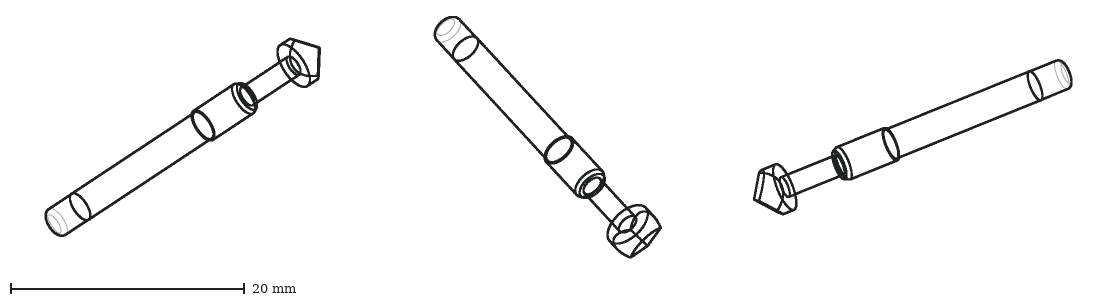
import cadquery as cq
import math

total_length = 30.3
tail_length = 3.0
barrel_length = 17.0
sleeve_length = 5.0
head_length = 3.0

tail_diameter = 2.65
barrel_diameter = 2.67
sleeve_diameter = 3.0
stem_diameter = 1.82
head_diameter = 4.2

tail_round = 0.4
sleeve_taper_length = 0.4
sleeve_taper_depth = 0.18

point_faces = 3
face_slope = math.radians(45)

tail_end = -total_length / 2
tail_top = tail_end + tail_length
sleeve_bottom = tail_end + barrel_length
sleeve_top = sleeve_bottom + sleeve_length
tip = total_length / 2
head_base = tip - head_length


def make_turned_body():
    """Revolve the tail, barrel, sleeve, stem and head blank about the Y axis."""
    tail_radius = tail_diameter / 2
    barrel_radius = barrel_diameter / 2
    sleeve_radius = sleeve_diameter / 2
    stem_radius = stem_diameter / 2
    head_radius = head_diameter / 2
    round_offset = tail_round * math.sin(math.radians(45))
    round_middle = (
        tail_radius - tail_round + round_offset,
        tail_end + tail_round - round_offset,
    )
    return (
        cq.Workplane("XY")
        .moveTo(0, tail_end)
        .lineTo(tail_radius - tail_round, tail_end)
        .threePointArc(round_middle, (tail_radius, tail_end + tail_round))
        .lineTo(tail_radius, tail_top)
        .lineTo(barrel_radius, tail_top)
        .lineTo(barrel_radius, sleeve_bottom)
        .lineTo(sleeve_radius, sleeve_bottom)
        .lineTo(sleeve_radius, sleeve_top - sleeve_taper_length)
        .lineTo(sleeve_radius - sleeve_taper_depth, sleeve_top)
        .lineTo(stem_radius, sleeve_top)
        .lineTo(stem_radius, head_base)
        .lineTo(head_radius, head_base)
        .lineTo(head_radius, tip)
        .lineTo(0, tip)
        .close()
        .revolve(360, (0, 0, 0), (0, 1, 0))
    )


def make_face_cutter():
    """Wedge above the sloping plane that falls from the tip towards +X."""
    reach = head_diameter
    drop = reach * math.tan(face_slope)
    return (
        cq.Workplane("XY")
        .polyline([(0, tip), (reach, tip - drop), (reach, tip)])
        .close()
        .extrude(reach, both=True)
    )


def cut_point(body):
    """Cut equally spaced sloping faces that meet at the tip on the axis."""
    cutter = make_face_cutter()
    for index in range(point_faces):
        turn = index * 360 / point_faces
        body = body.cut(cutter.rotate((0, 0, 0), (0, 1, 0), turn))
    return body


result = cut_point(make_turned_body())